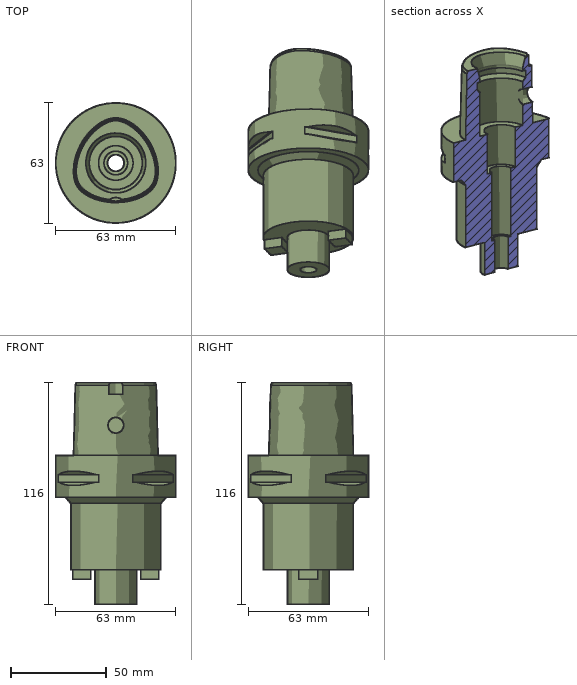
import cadquery as cq
import math

SHANK_LENGTH = 38.0
FLANGE_THICKNESS = 22.0
BODY_END = -60.0
PILOT_END = -78.0

SHANK_BASE_WIDTH = 44.4
SHANK_TAPER = 1 / 20
LOBE_HEIGHT = 1.43
OUTLINE_POINTS = 36
RIM_CHAMFER_HEIGHT = 1.4
RIM_CHAMFER_DEPTH = 0.6

FLANGE_RADIUS = 31.5
BODY_RADIUS = 23.6
COLLAR_RADIUS = 26.4
COLLAR_HEIGHT = 3.2
PILOT_RADIUS = 11.0

GROOVE_COUNT = 4
GROOVE_Z = -12.05
GROOVE_FLOOR_DISTANCE = 27.7
GROOVE_FLARE_DISTANCE = 28.4
GROOVE_FLOOR_HEIGHT = 3.95
GROOVE_SIDE_ANGLE = 30.0

KEY_INNER = 13.0
KEY_OUTER = 22.6
KEY_WIDTH = 10.0
KEY_HEIGHT = 5.0

MOUTH_RADIUS = 15.7
BORE_RADIUS = 13.85
MOUTH_DEPTH = 6.3
UNDERCUT_RADIUS = 15.8
UNDERCUT_START = 8.1
UNDERCUT_END = 11.85
UNDERCUT_CHAMFER = UNDERCUT_RADIUS - BORE_RADIUS
BORE_DEPTH = SHANK_LENGTH
SCREW_RADIUS = 9.05
SCREW_DEPTH = BORE_DEPTH + FLANGE_THICKNESS
STEP_RADIUS = 6.2
STEP_DEPTH = SHANK_LENGTH - BODY_END
THROUGH_RADIUS = 4.3

NOTCH_RADIUS = 5.0
NOTCH_FLOOR_Y = -18.05
NOTCH_DEPTH = 6.0
SIDE_HOLE_RADIUS = 4.1
SIDE_HOLE_Z = 15.7
SIDE_HOLE_BOTTOM_Y = -14.1


def polygon_wire(width, z):
    """Closed polygon-shank outline of the given width at height z."""

    def point(angle):
        phase = 3 * (angle - math.pi / 2)
        support = width / 2 + LOBE_HEIGHT * math.cos(phase)
        slope = -3 * LOBE_HEIGHT * math.sin(phase)
        x = support * math.cos(angle) - slope * math.sin(angle)
        y = support * math.sin(angle) + slope * math.cos(angle)
        return cq.Vector(x, y, z)

    step = 2 * math.pi / OUTLINE_POINTS
    points = [point(index * step - math.pi / 2) for index in range(OUTLINE_POINTS)]
    return cq.Wire.assembleEdges([cq.Edge.makeSpline(points, periodic=True)])


def make_shank():
    """Tapered shank with a chamfered rim."""
    chamfer_z = SHANK_LENGTH - RIM_CHAMFER_HEIGHT
    chamfer_width = SHANK_BASE_WIDTH - SHANK_TAPER * chamfer_z
    base = polygon_wire(SHANK_BASE_WIDTH, 0)
    shoulder = polygon_wire(chamfer_width, chamfer_z)
    rim = polygon_wire(chamfer_width - 2 * RIM_CHAMFER_DEPTH, SHANK_LENGTH)
    taper = cq.Solid.makeLoft([base, shoulder], True)
    chamfer = cq.Solid.makeLoft([shoulder, rim], True)
    return cq.Workplane(taper).union(cq.Workplane(chamfer))


def make_turned_body():
    """Flange, collar cone, body and pilot turned about the Z axis."""
    flange_bottom = -FLANGE_THICKNESS
    profile = [
        (0, 0),
        (FLANGE_RADIUS, 0),
        (FLANGE_RADIUS, flange_bottom),
        (COLLAR_RADIUS, flange_bottom),
        (BODY_RADIUS, flange_bottom - COLLAR_HEIGHT),
        (BODY_RADIUS, BODY_END),
        (PILOT_RADIUS, BODY_END),
        (PILOT_RADIUS, PILOT_END),
        (0, PILOT_END),
    ]
    return cq.Workplane("XZ").polyline(profile).close().revolve(360, (0, 0), (0, 1))


def make_key(side):
    """Drive key on the +X (side = 1) or -X (side = -1) half of the body end."""
    middle = side * (KEY_INNER + KEY_OUTER) / 2
    return (
        cq.Workplane("XY")
        .workplane(offset=BODY_END)
        .center(middle, 0)
        .rect(KEY_OUTER - KEY_INNER, KEY_WIDTH)
        .extrude(-KEY_HEIGHT)
    )


def make_groove_cutter(angle):
    """Straight groove at the given angle, square at its floor and flaring outward."""
    flare_depth = FLANGE_RADIUS - GROOVE_FLARE_DISTANCE
    floor_half = GROOVE_FLOOR_HEIGHT / 2
    mouth_half = floor_half + flare_depth * math.tan(math.radians(GROOVE_SIDE_ANGLE))
    profile = [
        (GROOVE_FLOOR_DISTANCE, GROOVE_Z - floor_half),
        (GROOVE_FLARE_DISTANCE, GROOVE_Z - floor_half),
        (FLANGE_RADIUS, GROOVE_Z - mouth_half),
        (FLANGE_RADIUS, GROOVE_Z + mouth_half),
        (GROOVE_FLARE_DISTANCE, GROOVE_Z + floor_half),
        (GROOVE_FLOOR_DISTANCE, GROOVE_Z + floor_half),
    ]
    cutter = cq.Workplane("XZ").polyline(profile).close().extrude(FLANGE_RADIUS, both=True)
    return cutter.rotate((0, 0, 0), (0, 0, 1), angle)


def make_bore_cutter():
    """Stepped bore with a conical mouth, an undercut and a through hole."""
    profile_by_depth = [
        (0, 0),
        (MOUTH_RADIUS, 0),
        (BORE_RADIUS, MOUTH_DEPTH),
        (BORE_RADIUS, UNDERCUT_START),
        (UNDERCUT_RADIUS, UNDERCUT_START),
        (UNDERCUT_RADIUS, UNDERCUT_END),
        (BORE_RADIUS, UNDERCUT_END + UNDERCUT_CHAMFER),
        (BORE_RADIUS, BORE_DEPTH),
        (SCREW_RADIUS, BORE_DEPTH),
        (SCREW_RADIUS, SCREW_DEPTH),
        (STEP_RADIUS, SCREW_DEPTH),
        (STEP_RADIUS, STEP_DEPTH),
        (THROUGH_RADIUS, STEP_DEPTH),
        (THROUGH_RADIUS, SHANK_LENGTH - PILOT_END),
        (0, SHANK_LENGTH - PILOT_END),
    ]
    profile = [(radius, SHANK_LENGTH - depth) for radius, depth in profile_by_depth]
    return cq.Workplane("XZ").polyline(profile).close().revolve(360, (0, 0), (0, 1))


def make_notch_cutter():
    """Upright round notch in the shank rim."""
    return (
        cq.Workplane("XY")
        .workplane(offset=SHANK_LENGTH)
        .center(0, NOTCH_FLOOR_Y - NOTCH_RADIUS)
        .circle(NOTCH_RADIUS)
        .extrude(-NOTCH_DEPTH)
    )


def make_side_hole_cutter():
    """Flat-bottomed blind hole running in along +Y."""
    return (
        cq.Workplane("XZ", origin=(0, SIDE_HOLE_BOTTOM_Y, SIDE_HOLE_Z))
        .circle(SIDE_HOLE_RADIUS)
        .extrude(SHANK_BASE_WIDTH / 2)
    )


result = make_turned_body().union(make_shank())

for side in (-1, 1):
    result = result.union(make_key(side))

groove_spacing = 360 / GROOVE_COUNT
for index in range(GROOVE_COUNT):
    result = result.cut(make_groove_cutter((index + 0.5) * groove_spacing))

result = result.cut(make_bore_cutter())
result = result.cut(make_notch_cutter())
result = result.cut(make_side_hole_cutter())